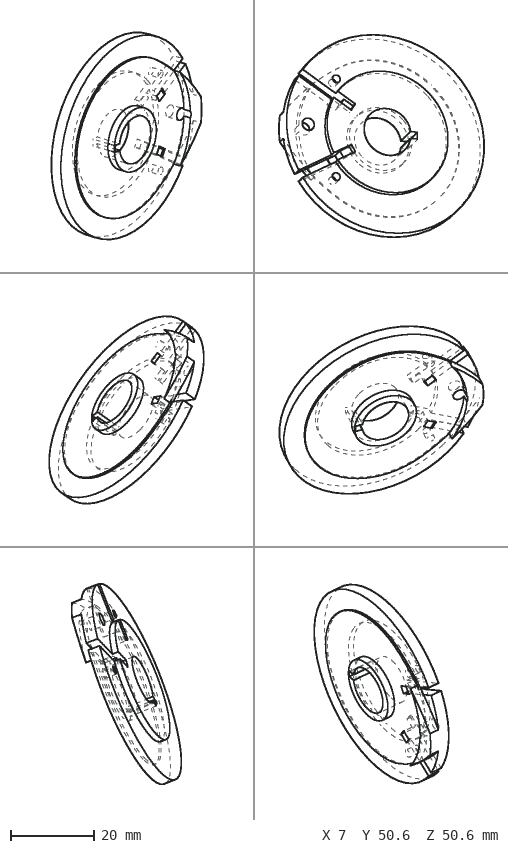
import cadquery as cq
import math

hub_face_x = 0.0
disc_front_x = 1.5
disc_back_x = 4.5
plate_back_x = 5.0
rear_face_x = 7.0

disc_radius = 25.3
hub_radius = 15.5
plate_radius = 20.0
boss_radius = 8.0
bore_radius = 6.0

flank_radius = 50.0
flank_start_angle = 58.5
lug_inner_radius = 21.0

keyway_reach = 7.65
keyway_width = 1.7

slot_angle = 31.0
slot_width = 2.0
hub_slot_inner_radius = 10.25
disc_slot_inner_radius = 13.0

pin_hole_radius = 1.5
pin_hole_y = 19.75
blind_hole_radius = 0.95
blind_hole_offset = 12.55


def cylinder(radius, start_x, end_x, y=0.0, z=0.0):
    """Solid cylinder parallel to X."""
    section = cq.Workplane("YZ").workplane(offset=start_x).center(y, z)
    return section.circle(radius).extrude(end_x - start_x)


def radial_bar(inner_radius, outer_radius, start_x, end_x, angle):
    """Rectangular bar of slot width running outward at an angle from +Y."""
    bar = cq.Workplane("XY").box(
        end_x - start_x, outer_radius - inner_radius, slot_width, centered=(False, False, True)
    )
    return bar.translate((start_x, inner_radius, 0)).rotate((0, 0, 0), (1, 0, 0), angle)


flank_start = math.radians(flank_start_angle)
flank_centre_distance = flank_radius - plate_radius


def flank_point(direction):
    """Point (y, z) on the upper flank, in the given direction from the flank centre."""
    return (
        flank_radius * math.cos(direction) - flank_centre_distance * math.cos(flank_start),
        flank_radius * math.sin(direction) - flank_centre_distance * math.sin(flank_start),
    )


rim_turn = math.acos(
    (flank_radius**2 + flank_centre_distance**2 - disc_radius**2)
    / (2 * flank_radius * flank_centre_distance)
)
flank_end = flank_start - rim_turn


def lobed_plate(start_x, end_x):
    """Round plate that flares out to the disc rim on the +Y side."""
    start_y, start_z = flank_point(flank_start)
    middle_y, middle_z = flank_point((flank_start + flank_end) / 2)
    end_y, end_z = flank_point(flank_end)
    outline = (
        cq.Workplane("YZ")
        .workplane(offset=start_x)
        .moveTo(start_y, start_z)
        .threePointArc((middle_y, middle_z), (end_y, end_z))
        .threePointArc((disc_radius, 0), (end_y, -end_z))
        .threePointArc((middle_y, -middle_z), (start_y, -start_z))
        .threePointArc((-plate_radius, 0), (start_y, start_z))
        .close()
    )
    return outline.extrude(end_x - start_x)


hub = cylinder(hub_radius, hub_face_x, disc_front_x)
disc = cylinder(disc_radius, disc_front_x, disc_back_x)
plate = lobed_plate(disc_back_x, plate_back_x)
boss = cylinder(boss_radius, plate_back_x, rear_face_x)
lug = lobed_plate(plate_back_x, rear_face_x).cut(
    cylinder(lug_inner_radius, plate_back_x, rear_face_x)
)
result = hub.union(disc).union(plate).union(boss).union(lug)

keyway = cq.Workplane("XY").box(
    rear_face_x, keyway_reach, keyway_width, centered=(False, False, True)
)
result = result.cut(cylinder(bore_radius, hub_face_x, rear_face_x))
result = result.cut(keyway.translate((hub_face_x, -keyway_reach, 0)))

result = result.cut(cylinder(pin_hole_radius, hub_face_x, rear_face_x, y=pin_hole_y))

for side in (1, -1):
    angle = side * slot_angle
    hub_slot = radial_bar(hub_slot_inner_radius, hub_radius, hub_face_x, disc_front_x, angle)
    disc_slot = radial_bar(disc_slot_inner_radius, disc_radius, disc_front_x, disc_back_x, angle)
    plate_window = radial_bar(disc_slot_inner_radius, hub_radius, disc_back_x, plate_back_x, angle)
    blind_hole = cylinder(
        blind_hole_radius, disc_front_x, disc_back_x, y=blind_hole_offset, z=side * blind_hole_offset
    )
    result = result.cut(hub_slot).cut(disc_slot).cut(plate_window).cut(blind_hole)